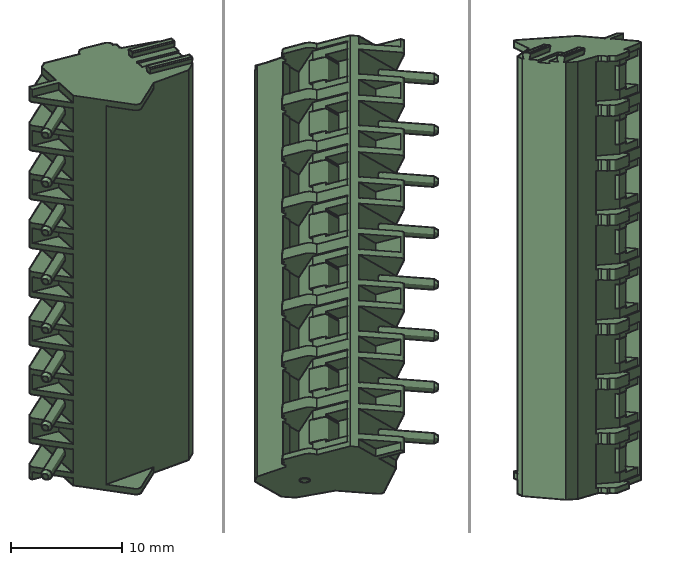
import cadquery as cq
import math

pole_count = 8
pitch = 5.0
body_height = pole_count * pitch

base_width = 10.5
corner_radius = 0.5
left_face_top = 5.05
flank_foot = 7.35
head_right = 12.8
head_back = 11.9
head_bevel_bottom = 7.55
head_bevel_top = 8.85
head_bevel_left = 8.6
head_bevel_right = 9.75
head_root = (5.86, 9.8)

lobe_start = (2.55, 7.6)
lobe_lower_mid = (2.35, 8.15)
lobe_lower_end = (2.65, 8.78)
lobe_upper_start = (4.1, 10.2)
lobe_upper_mid = (4.5, 10.36)
lobe_upper_end = (4.9, 10.15)
crest_tip = (5.2, 10.3)
crest_foot = (5.6, 9.87)

end_plate_thickness = 0.6

pocket_height = 4.0
pocket_lip = 0.2
pocket_recess = 0.2
pocket_floor_top = 7.88
pocket_wall_foot = 8.16
pocket_wall_step = 9.24
pocket_wall_top = 9.96
pocket_wall_offset = 11.4
wall_step_depth = 0.15

opening_height = 2.65
opening_back = 6.36
opening_depth = 2.0
button_height = 2.2
button_front = 6.3
button_back = 8.08
button_rise = 0.1
button_radius = 0.54

notch_floor = 4.25
pin_notch_height = 2.4
web_notch_height = 1.5
web_thickness = 0.6

pin_x = 2.7
pin_diameter = 1.0
pin_length = 3.5
pin_root = 3.0
pin_tip_length = 0.4
pin_tip_inset = 0.2

head_axis = 0.68
head_face = (head_right + head_bevel_top) / math.sqrt(2)
rail_start = 11.0
rail_offset = 1.7
rail_height = 0.6
rail_foot_width = 0.6
rail_crown_width = 0.8
rail_top_width = 0.5
rail_crown_height = 0.5
center_groove_width = 1.1
center_groove_depth = 0.2
stud_along = 11.36
stud_diameter = 0.95
stud_height = 0.08


def skewed(along, across):
    """XY point from distances along (+X+Y) and across (+X-Y) the 45 degree diagonal."""
    return ((along + across) / math.sqrt(2), (along - across) / math.sqrt(2))


def prism(points, z_bottom, height):
    return cq.Workplane("XY").workplane(offset=z_bottom).polyline(points).close().extrude(height)


def skewed_block(along_range, across_range, z_bottom, height):
    near, far = along_range
    left, right = across_range
    corners = [skewed(near, left), skewed(far, left), skewed(far, right), skewed(near, right)]
    return prism(corners, z_bottom, height)


def make_housing():
    core = (
        cq.Workplane("XY")
        .moveTo(0, 0)
        .lineTo(flank_foot, 0)
        .lineTo(head_right, head_bevel_bottom)
        .lineTo(head_right, head_bevel_top)
        .lineTo(head_bevel_right, head_back)
        .lineTo(head_bevel_left, head_back)
        .lineTo(*head_root)
        .lineTo(*crest_foot)
        .lineTo(*crest_tip)
        .lineTo(*lobe_upper_end)
        .threePointArc(lobe_upper_mid, lobe_upper_start)
        .lineTo(*lobe_lower_end)
        .threePointArc(lobe_lower_mid, lobe_start)
        .lineTo(0, left_face_top)
        .close()
        .extrude(body_height)
        .edges(cq.selectors.NearestToPointSelector((0, 0, body_height / 2)))
        .fillet(corner_radius)
    )
    flank_slope = head_bevel_bottom / (head_right - flank_foot)
    plate_top = (base_width - flank_foot) * flank_slope
    plate = (
        prism([(flank_foot, 0), (base_width, 0), (base_width, plate_top)], 0, end_plate_thickness)
        .edges(cq.selectors.NearestToPointSelector((base_width, 0, end_plate_thickness / 2)))
        .fillet(corner_radius)
    )
    upper_plate = plate.translate((0, 0, body_height - end_plate_thickness))
    return core.union(plate).union(upper_plate)


def make_pocket(z_center):
    """Wire entry pocket with its contact opening and push button."""
    entry_across = -left_face_top / math.sqrt(2)
    floor_across = entry_across + pocket_recess
    floor_shift = floor_across * math.sqrt(2)
    wall_sum = pocket_wall_offset * math.sqrt(2)
    deep_sum = wall_sum + wall_step_depth * math.sqrt(2)
    half_step = wall_step_depth / math.sqrt(2)
    lip_along = -entry_across + pocket_lip * math.sqrt(2)
    outside_across = entry_across - 2 * pocket_recess

    outline = [
        skewed(lip_along, outside_across),
        skewed(lip_along, floor_across),
        (pocket_floor_top + floor_shift, pocket_floor_top),
        (deep_sum - pocket_wall_foot, pocket_wall_foot),
        (deep_sum - pocket_wall_step - half_step, pocket_wall_step + half_step),
        (wall_sum - pocket_wall_step, pocket_wall_step),
        (wall_sum - pocket_wall_top, pocket_wall_top),
        (head_root[0], head_back),
        (0, head_back),
    ]
    recess = prism(outline, z_center - pocket_height / 2, pocket_height)
    opening = skewed_block(
        (lip_along, opening_back),
        (outside_across, floor_across + opening_depth),
        z_center - opening_height / 2,
        opening_height,
    )
    button_relief = skewed_block(
        (button_front, button_front + button_radius),
        (floor_across, floor_across + opening_depth),
        z_center - button_height / 2,
        button_height,
    )
    button_face = floor_across - button_rise
    button = (
        skewed_block(
            (button_front, button_back),
            (button_face, floor_across + opening_depth),
            z_center - button_height / 2,
            button_height,
        )
        .edges(cq.selectors.NearestToPointSelector((*skewed(button_front, button_face), z_center)))
        .fillet(button_radius)
    )
    return recess.union(opening).union(button_relief).cut(button)


def make_pin_notch(z_center):
    corners = [(0, 0), (notch_floor, 0), (0, notch_floor)]
    return prism(corners, z_center - pin_notch_height / 2, pin_notch_height)


def make_web_notch(z_center):
    """Triangular notch with a web left standing along the diagonal."""
    z_bottom = z_center - web_notch_height / 2
    notch = prism([(0, 0), (notch_floor, 0), (0, notch_floor)], z_bottom, web_notch_height)
    web = skewed_block(
        (0, notch_floor), (-web_thickness / 2, web_thickness / 2), z_bottom, web_notch_height
    )
    return notch.cut(web)


def make_pin(z_center):
    pin_radius = pin_diameter / 2
    profile = [
        (0, pin_root),
        (pin_radius, pin_root),
        (pin_radius, pin_tip_length - pin_length),
        (pin_radius - pin_tip_inset, -pin_length),
        (0, -pin_length),
    ]
    pin = cq.Workplane("XY").polyline(profile).close().revolve(360, (0, 0, 0), (0, 1, 0))
    return pin.translate((pin_x, 0, z_center))


def make_rail(across):
    """Coding rail on the top face, widest just below its crown."""
    section = [
        (-rail_foot_width / 2, 0),
        (-rail_crown_width / 2, rail_crown_height),
        (-rail_top_width / 2, rail_height),
        (rail_top_width / 2, rail_height),
        (rail_crown_width / 2, rail_crown_height),
        (rail_foot_width / 2, 0),
    ]
    start_plane = cq.Plane(
        origin=(*skewed(rail_start, across), body_height), xDir=(1, -1, 0), normal=(-1, -1, 0)
    )
    return cq.Workplane(start_plane).polyline(section).close().extrude(rail_start - head_face)


result = make_housing()
for pole in range(pole_count):
    pole_center = (pole + 0.5) * pitch
    result = result.cut(make_pocket(pole_center))
    result = result.cut(make_pin_notch(pole_center))
    result = result.union(make_pin(pole_center))
for boundary in range(pole_count + 1):
    result = result.cut(make_web_notch(boundary * pitch))

for side in (-1, 1):
    result = result.union(make_rail(head_axis + side * rail_offset))
center_groove = skewed_block(
    (rail_start, head_face),
    (head_axis - center_groove_width / 2, head_axis + center_groove_width / 2),
    body_height - center_groove_depth,
    center_groove_depth,
)
stud = (
    cq.Workplane("XY")
    .center(*skewed(stud_along, head_axis))
    .circle(stud_diameter / 2)
    .extrude(-stud_height)
)
result = result.cut(center_groove).union(stud)